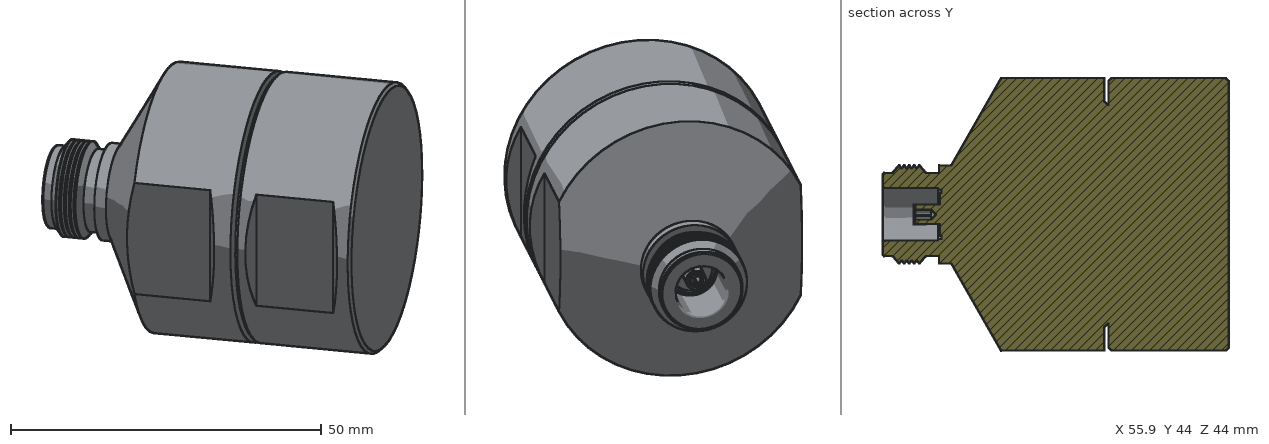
import cadquery as cq
import math


length = 55.85
flange_start = 9.1
flange_end = 11.05
cone_end = 19.1
body_end = 35.75
nut_start = 36.4

neck_radius = 6.75
flange_radius = 7.95
body_radius = 22.0
seal_radius = 18.25
neck_chamfer = 0.3
nut_chamfer = 0.5

thread_start = 1.6
first_crest = 2.7
crest_count = 5
last_crest = 5.9
thread_pitch = (last_crest - first_crest) / (crest_count - 1)
crest_radius = 7.95
crest_width = 0.1
root_radius = 7.45
thread_runout = 1.05

flat_distance = 19.8
body_flat_end = 31.8
nut_flat_start = 39.5
nut_flat_end = 52.35
flat_end_slope = 30.0
cutter_clearance = 0.55

mouth_rounding = 0.55
bore_radius = 4.2
bore_depth = 8.95
step_radius = 3.95
step_depth = 0.55
insulator_radius = 3.45
insulator_height = 0.3

contact_radius = 1.6
contact_tip = 5.0
contact_recess_radius = 1.2
contact_recess_depth = 0.3
contact_hole_radius = 0.8
contact_hole_depth = 2.8
contact_hole_tip = 0.8
slot_width = 0.3
slot_angle = 15.0
slot_count = 4


def revolve_about_x(points):
    """Turn a closed outline of (x, radius) points about the X axis."""
    outline = cq.Workplane("XZ").polyline(points).close()
    return outline.revolve(360, (0, 0, 0), (1, 0, 0))


def thread_points():
    """Narrow crests and the roots between them, with a sloped runout at each end."""
    points = [(thread_start, neck_radius)]
    for index in range(crest_count):
        crest = first_crest + index * thread_pitch
        if index > 0:
            points.append((crest - thread_pitch / 2, root_radius))
        points.append((crest - crest_width / 2, crest_radius))
        points.append((crest + crest_width / 2, crest_radius))
    points.append((last_crest + thread_runout, neck_radius))
    return points


def make_body():
    """Solid outside form: threaded neck, flange, cone, body and nut."""
    gap = nut_start - body_end
    outline = [
        (0, 0),
        (0, neck_radius - neck_chamfer),
        (neck_chamfer, neck_radius),
        *thread_points(),
        (flange_start, neck_radius),
        (flange_start, flange_radius),
        (flange_end, flange_radius),
        (cone_end, body_radius),
        (body_end, body_radius),
        (body_end, seal_radius),
        (nut_start, seal_radius - gap),
        (nut_start, body_radius - nut_chamfer),
        (nut_start + nut_chamfer, body_radius),
        (length - nut_chamfer, body_radius),
        (length, body_radius - nut_chamfer),
        (length, 0),
    ]
    return revolve_about_x(outline)


def make_flat_cutter(start, end, slope_start):
    """Cutter for one pair of flats; the +X end, and the other if asked, slopes outward."""
    height = body_radius - flat_distance + cutter_clearance
    run = height * math.tan(math.radians(flat_end_slope))
    start_run = run if slope_start else 0
    cutter = (
        cq.Workplane("XY")
        .moveTo(start, flat_distance)
        .lineTo(end, flat_distance)
        .lineTo(end + run, flat_distance + height)
        .lineTo(start - start_run, flat_distance + height)
        .close()
        .extrude(body_radius, both=True)
    )
    return cutter.union(cutter.mirror("XZ"))


def make_socket_cutter():
    """Bore with a rounded mouth, a stepped floor and a raised insulator face."""
    mouth_radius = bore_radius + mouth_rounding
    arc_offset = mouth_rounding * (1 - math.sqrt(0.5))
    floor = bore_depth + step_depth
    outline = (
        cq.Workplane("XZ")
        .lineTo(0, mouth_radius)
        .threePointArc((arc_offset, bore_radius + arc_offset), (mouth_rounding, bore_radius))
        .lineTo(bore_depth, bore_radius)
        .lineTo(bore_depth, step_radius)
        .lineTo(floor, step_radius)
        .lineTo(floor, insulator_radius)
        .lineTo(floor - insulator_height, insulator_radius)
        .lineTo(floor - insulator_height, 0)
        .close()
    )
    return outline.revolve(360, (0, 0, 0), (1, 0, 0))


def make_contact():
    """Hollow pin with a recessed tip, split into fingers by radial slots."""
    contact_end = bore_depth + 2 * step_depth
    hole_floor = contact_tip + contact_hole_depth
    recess_floor = contact_tip + contact_recess_depth
    contact = revolve_about_x([
        (contact_tip, contact_recess_radius),
        (contact_tip, contact_radius),
        (contact_end, contact_radius),
        (contact_end, 0),
        (hole_floor + contact_hole_tip, 0),
        (hole_floor, contact_hole_radius),
        (recess_floor, contact_hole_radius),
        (recess_floor, contact_recess_radius),
    ])
    for index in range(slot_count):
        slot = (
            cq.Workplane("XY")
            .box(contact_hole_depth, contact_radius, slot_width, centered=(False, False, True))
            .translate((contact_tip, 0, 0))
            .rotate((0, 0, 0), (1, 0, 0), -slot_angle + index * 360 / slot_count)
        )
        contact = contact.cut(slot)
    return contact


body = make_body()
body = body.cut(make_flat_cutter(flange_end, body_flat_end, slope_start=False))
body = body.cut(make_flat_cutter(nut_flat_start, nut_flat_end, slope_start=True))
body = body.cut(make_socket_cutter())
result = body.union(make_contact())